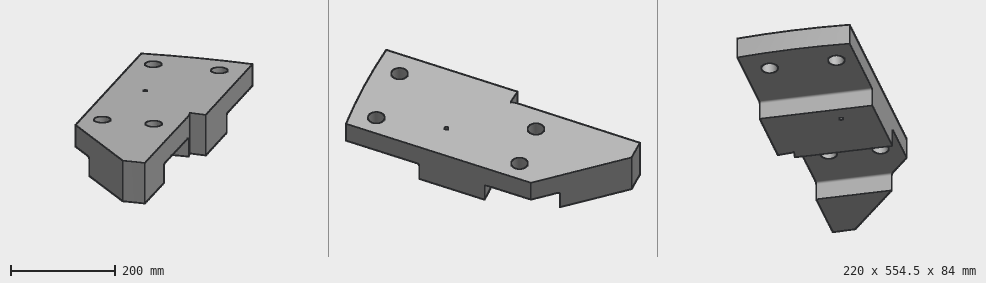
import cadquery as cq
import math

width = 220.0
length = 554.5
height = 84.0
tip_x = 146.0
outer_radius = 1452.5
arc_center_x = width
arc_center_y = length - outer_radius
inner_radius = math.hypot(tip_x - arc_center_x, arc_center_y)

step_y = 276.0
end_width = 189.5
neck_width = 191.0
relief_depth = 3.0
relief_length = 16.0

pad_height = 39.5
pad_slant = 4.8
end_pad_top_y = 100.5
middle_pad_bottom_y = 244.0
middle_pad_top_y = 382.5
root_fillet = 4.5

bolt_hole_diameter = 32.0
bolt_holes = [(40.0, 492.0), (170.0, 503.0), (40.0, 188.5), (140.0, 200.0)]
small_hole_diameter = 8.0
small_hole = (70.0, 357.0)


def arc_point(radius, x):
    """Point at the given x on an arc about the common centre."""
    return x, arc_center_y + math.sqrt(radius**2 - (x - arc_center_x) ** 2)


def make_blank():
    """Full-height block with the plan outline of the part."""
    return (
        cq.Workplane("XY")
        .moveTo(0, tip_x)
        .lineTo(tip_x, 0)
        .threePointArc(
            arc_point(inner_radius, (tip_x + end_width) / 2),
            arc_point(inner_radius, end_width),
        )
        .lineTo(neck_width, step_y - relief_length)
        .lineTo(neck_width - relief_depth, step_y)
        .lineTo(width, step_y)
        .lineTo(width, length)
        .threePointArc(arc_point(outer_radius, width / 2), arc_point(outer_radius, 0))
        .close()
        .extrude(height)
    )


def make_recess(start_y, end_y, rounded_edges):
    """Slanted slab cutter under the plate, rounded where it meets the pads."""
    rise = width * math.tan(math.radians(pad_slant))
    left = -width
    right = 2 * width
    slab = (
        cq.Workplane("XY")
        .moveTo(left, start_y - rise)
        .lineTo(right, start_y + 2 * rise)
        .lineTo(right, end_y + 2 * rise)
        .lineTo(left, end_y - rise)
        .close()
        .extrude(pad_height)
    )
    return slab.faces(">Z").edges(rounded_edges).fillet(root_fillet)


def make_holes(points, diameter):
    """Cutters for vertical through holes."""
    return cq.Workplane("XY").pushPoints(points).circle(diameter / 2).extrude(height)


result = make_blank()

result = result.cut(make_recess(end_pad_top_y, middle_pad_bottom_y, "<Y or >Y"))
result = result.cut(make_recess(middle_pad_top_y, 2 * length, "<Y"))

result = result.cut(make_holes(bolt_holes, bolt_hole_diameter))
result = result.cut(make_holes([small_hole], small_hole_diameter))